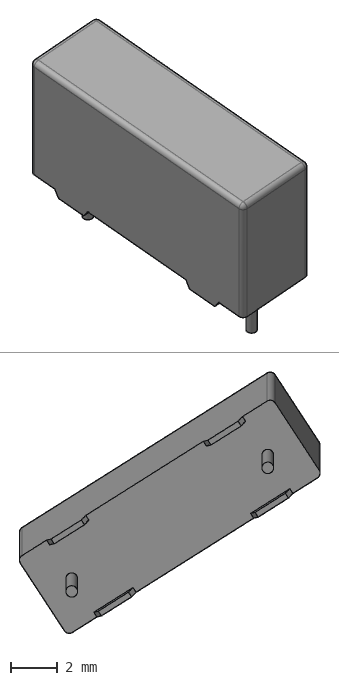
import cadquery as cq

CASE_LENGTH = 13.0
CASE_WIDTH = 4.0
CASE_HEIGHT = 6.6
EDGE_RADIUS = 0.25

FOOT_HEIGHT = 0.4
FOOT_THICKNESS = 0.25
FOOT_ROOT_LENGTH = 2.0
FOOT_END_SLOPE = 0.23
FOOT_CENTER_X = 4.0

LEAD_DIAMETER = 0.5
LEAD_PITCH = 10.0
LEAD_LENGTH = 2.9

CASE_BOTTOM_Z = FOOT_HEIGHT


def make_foot(center_x, outer_y, inward):
    """Tapered foot with its outer face at outer_y, thickened along inward (+1 or -1 in Y)."""
    half_root = FOOT_ROOT_LENGTH / 2
    half_tip = half_root - FOOT_END_SLOPE
    return (
        cq.Workplane("XZ", origin=(center_x, outer_y, CASE_BOTTOM_Z))
        .moveTo(-half_root, 0)
        .lineTo(-half_tip, -FOOT_HEIGHT)
        .lineTo(half_tip, -FOOT_HEIGHT)
        .lineTo(half_root, 0)
        .close()
        .extrude(-inward * FOOT_THICKNESS)
    )


def make_case():
    """Box with rounded upright and top edges, standing on four feet."""
    case = (
        cq.Workplane("XY", origin=(0, 0, CASE_BOTTOM_Z))
        .box(CASE_LENGTH, CASE_WIDTH, CASE_HEIGHT, centered=(True, True, False))
        .edges("|Z or >Z")
        .fillet(EDGE_RADIUS)
    )
    for x_side in (-1, 1):
        for y_side in (-1, 1):
            foot = make_foot(x_side * FOOT_CENTER_X, y_side * CASE_WIDTH / 2, -y_side)
            case = case.union(foot)
    return case


def make_lead(center_x):
    """Round lead hanging from the underside of the case."""
    return (
        cq.Workplane("XY", origin=(center_x, 0, CASE_BOTTOM_Z))
        .circle(LEAD_DIAMETER / 2)
        .extrude(-LEAD_LENGTH)
    )


case = make_case()
leads = [make_lead(side * LEAD_PITCH / 2) for side in (-1, 1)]

result = cq.Compound.makeCompound([case.val(), *[lead.val() for lead in leads]])